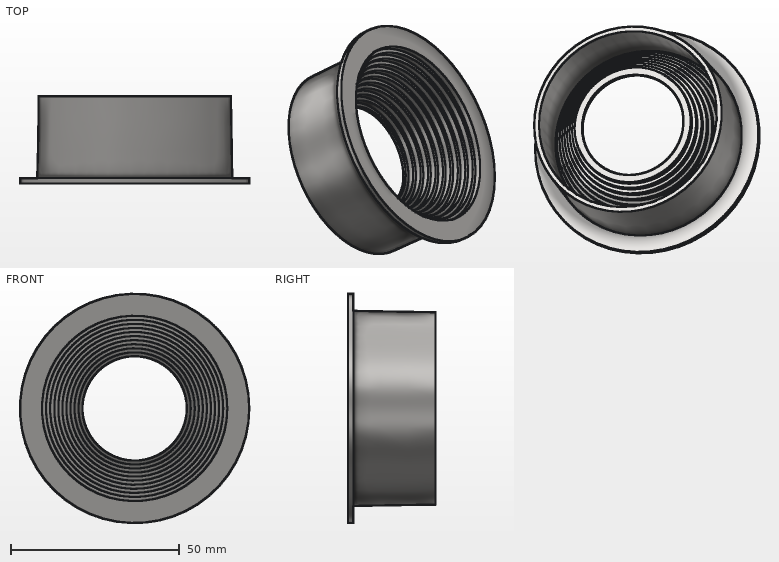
import cadquery as cq

length = 26.0
flange_radius = 34.0
flange_thickness = 1.6
body_root_radius = 29.0
body_end_radius = 28.55

bore_mouth_radius = 27.5
bore_end_radius = 15.45
step_count = 10
last_step_depth = 18.85
step_length = last_step_depth / step_count
step_height = (bore_mouth_radius - bore_end_radius) / step_count

funnel_wall = 1.0
body_wall = body_root_radius - bore_mouth_radius
recess_radius = body_end_radius - body_wall
recess_start = last_step_depth + funnel_wall


def bore_radius(step):
    """Radius of the bore after the given number of steps."""
    return bore_mouth_radius - step * step_height


def cylinder(radius, start, end):
    """Solid cylinder about the Y axis, from Y = start to Y = end."""
    return cq.Workplane("XZ", origin=(0, start, 0)).circle(radius).extrude(start - end)


def make_outer_solid():
    """Flange and tapered body, turned as one half profile about the Y axis."""
    return (
        cq.Workplane("XY")
        .lineTo(flange_radius, 0)
        .lineTo(flange_radius, flange_thickness)
        .lineTo(body_root_radius, flange_thickness)
        .lineTo(body_end_radius, length)
        .lineTo(0, length)
        .close()
        .revolve(360, (0, 0), (0, 1))
    )


def make_stepped_bore():
    """Staircase half profile turned about the Y axis."""
    profile = cq.Workplane("XY").moveTo(0, 0)
    for step in range(step_count):
        radius = bore_radius(step)
        profile = profile.lineTo(radius, step * step_length)
        profile = profile.lineTo(radius, (step + 1) * step_length)
    profile = profile.lineTo(bore_end_radius, last_step_depth)
    profile = profile.lineTo(bore_end_radius, recess_start)
    return profile.lineTo(0, recess_start).close().revolve(360, (0, 0), (0, 1))


def make_rear_recess():
    """Open rear cavity that follows the back of the stepped funnel."""
    recess = cylinder(recess_radius, recess_start, length)
    for step in range(1, step_count):
        inner_radius = bore_radius(step) + funnel_wall
        if inner_radius < recess_radius:
            start = step * step_length + funnel_wall
            ring = cylinder(recess_radius, start, recess_start)
            recess = recess.union(ring.cut(cylinder(inner_radius, start, recess_start)))
    return recess


result = make_outer_solid().cut(make_stepped_bore()).cut(make_rear_recess())